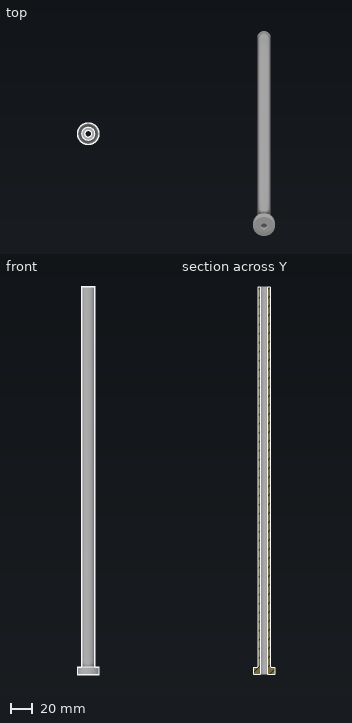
import cadquery as cq

total_length = 357.0
head_diameter = 20.0
head_thickness = 7.0
bore_radius = 3.0
wall_thickness = 3.0
neck_fillet_radius = 0.5

shaft_radius = bore_radius + wall_thickness

head = cq.Workplane("XY").circle(head_diameter / 2).extrude(head_thickness)

shaft = cq.Workplane("XY").circle(shaft_radius).extrude(total_length)
pin = head.union(shaft)

shaft_edges = cq.selectors.RadiusNthSelector(0)
pin = pin.edges(shaft_edges).edges("<Z").fillet(neck_fillet_radius)

bore = cq.Workplane("XY").circle(bore_radius).extrude(total_length)

result = pin.cut(bore)